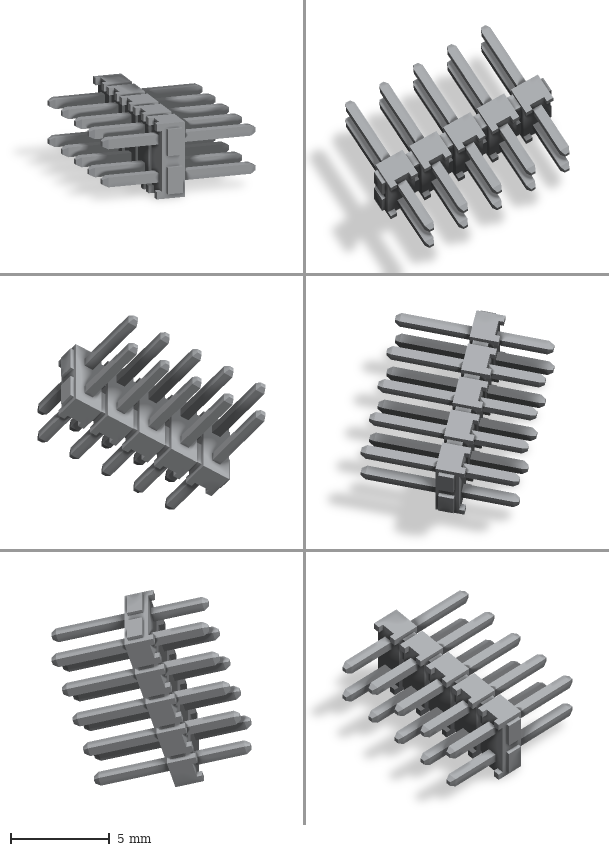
import cadquery as cq

columns = 5
rows = 2
pitch = 2.0

block_width = 1.6
block_depth = 1.23
block_height = 3.94

notch_width = 0.85
foot_height = 0.38
foot_length = 0.27

bar_length = columns * pitch
bar_depth = 0.8
bar_height = 1.4
bar_setback = 0.18

pin_size = 0.51
pin_length = 8.2
pin_tail = 4.02
taper_length = 0.27
tip_size = 0.26


def centred_positions(count):
    """Positions of equally pitched items, centred on zero."""
    return [(i - (count - 1) / 2) * pitch for i in range(count)]


def make_block():
    """Block with its back face on Y = 0 and four feet standing out of its front face."""
    full_depth = block_depth + foot_length
    gap_height = block_height - 2 * foot_height
    notch_y = -block_depth - foot_length / 2

    block = cq.Workplane("XZ").rect(block_width, block_height).extrude(full_depth)
    upright_channel = cq.Workplane("XY").box(notch_width, foot_length, block_height)
    level_channel = cq.Workplane("XY").box(block_width, foot_length, gap_height)
    block = block.cut(upright_channel.translate((0, notch_y, 0)))
    return block.cut(level_channel.translate((0, notch_y, 0)))


def make_bar():
    """Joining bar along X, set in from the back face of the blocks."""
    bar = cq.Workplane("XY").box(bar_length, bar_depth, bar_height)
    return bar.translate((0, -bar_setback - bar_depth / 2, 0))


def make_taper():
    """Pin end narrowing toward -Y, with its wide face on Y = 0."""
    return (
        cq.Workplane("XZ")
        .rect(pin_size, pin_size)
        .workplane(offset=taper_length)
        .rect(tip_size, tip_size)
        .loft(combine=True)
    )


def make_pin():
    """Pin along Y with a taper at both ends."""
    shaft_length = pin_length - 2 * taper_length
    shaft_back = pin_tail - taper_length
    shaft = cq.Workplane("XZ", origin=(0, shaft_back, 0)).rect(pin_size, pin_size).extrude(shaft_length)
    front_taper = make_taper().translate((0, shaft_back - shaft_length, 0))
    back_taper = make_taper().mirror("XZ").translate((0, shaft_back, 0))
    return shaft.union(front_taper).union(back_taper)


block = make_block()
bar = make_bar()
pin = make_pin()

result = cq.Workplane("XY")
for z in centred_positions(rows):
    result = result.union(bar.translate((0, 0, z)))
for x in centred_positions(columns):
    result = result.union(block.translate((x, 0, 0)))
    for z in centred_positions(rows):
        result = result.union(pin.translate((x, 0, z)))